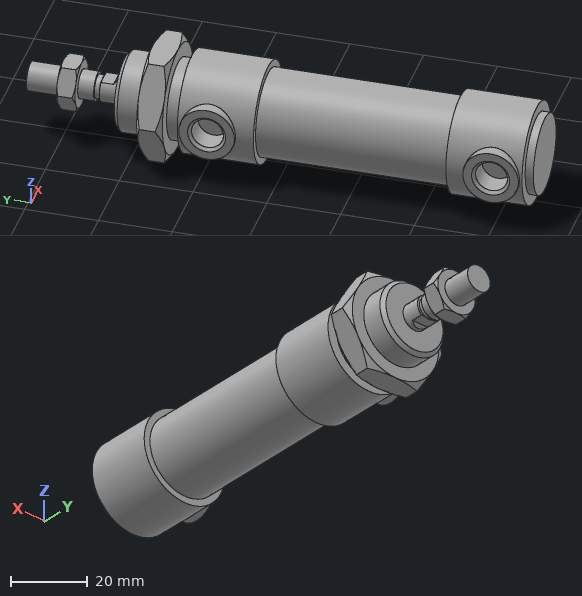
import cadquery as cq
import math

overall_length = 139.5

cap_diameter = 28.0
cap_length = 20.6
tube_diameter = 24.0
collar_diameter = 22.0
rear_collar_length = 2.2
front_collar_end = 114.0
front_collar_length = 18.3
collar_chamfer = 1.1
front_cap_end = front_collar_end - front_collar_length
rear_cap_end = rear_collar_length + cap_length

port_positions = (10.5, 87.5)
boss_diameter = 15.0
boss_reach = 15.0
port_diameter = 8.6
port_mouth_diameter = 10.3
port_depth = 7.0

rod_diameter = 8.0
neck_diameter = 6.5
neck_start = 119.7
neck_length = 1.5
flats_width = 6.0
flats_start = 116.2
rod_insertion = 14.0
rod_start = front_collar_end - rod_insertion

mount_nut_flats = 30.0
mount_nut_start = 99.5
mount_nut_thickness = 7.0
rod_nut_flats = 13.0
rod_nut_start = 125.5
rod_nut_thickness = 5.0
nut_chamfer_angle = 30.0


def axial_cylinder(diameter, start, end):
    """Cylinder along +Y between two Y positions."""
    plane = cq.Workplane("XZ", origin=(0, start, 0))
    return plane.circle(diameter / 2).extrude(start - end)


def port_cylinder(diameter, position, depth):
    """Cylinder from the port face inwards along +X."""
    plane = cq.Workplane("YZ", origin=(-boss_reach, position, 0))
    return plane.circle(diameter / 2).extrude(depth)


def port_countersink(position):
    """45-degree cone that opens the port mouth."""
    depth = (port_mouth_diameter - port_diameter) / 2
    plane = cq.Workplane("YZ", origin=(-boss_reach, position, 0))
    return plane.circle(port_mouth_diameter / 2).extrude(depth, taper=45)


def make_housing():
    """Tube, end caps, collars and ports, with a blind bore for the rod."""
    front_collar = axial_cylinder(collar_diameter, front_cap_end, front_collar_end)
    front_collar = front_collar.faces(">Y").edges().chamfer(collar_chamfer)
    housing = (
        axial_cylinder(collar_diameter, 0, rear_collar_length)
        .union(axial_cylinder(cap_diameter, rear_collar_length, rear_cap_end))
        .union(axial_cylinder(tube_diameter, rear_cap_end, front_cap_end - cap_length))
        .union(axial_cylinder(cap_diameter, front_cap_end - cap_length, front_cap_end))
        .union(front_collar)
    )
    for position in port_positions:
        housing = housing.union(port_cylinder(boss_diameter, position, boss_reach))
    for position in port_positions:
        housing = housing.cut(port_cylinder(port_diameter, position, port_depth))
        housing = housing.cut(port_countersink(position))
    return housing.cut(axial_cylinder(rod_diameter, rod_start, front_collar_end))


def make_rod():
    """Round rod with a turned neck and two wrench flats behind it."""
    neck_end = neck_start + neck_length
    rod = (
        axial_cylinder(rod_diameter, rod_start, neck_start)
        .union(axial_cylinder(neck_diameter, neck_start, neck_end))
        .union(axial_cylinder(rod_diameter, neck_end, overall_length))
    )
    half_flats = flats_width / 2
    run_out = rod_diameter / 2 - half_flats
    flat_cut = (
        cq.Workplane("YZ")
        .moveTo(neck_start, half_flats)
        .lineTo(flats_start, half_flats)
        .lineTo(flats_start - run_out, rod_diameter / 2)
        .lineTo(neck_start, rod_diameter / 2)
        .close()
        .extrude(rod_diameter / 2, both=True)
    )
    return rod.cut(flat_cut).cut(flat_cut.mirror("XY"))


def make_nut(flats, bore, start, thickness):
    """Hexagonal nut with flats facing +Z and -Z and both ends cone-chamfered."""
    corner_radius = flats / 2 / math.cos(math.pi / 6)
    face_radius = flats / 2
    chamfer_height = (corner_radius - face_radius) * math.tan(math.radians(nut_chamfer_angle))
    end = start + thickness
    hexagon = (
        cq.Workplane("XZ", origin=(0, start, 0))
        .polygon(6, 2 * corner_radius)
        .extrude(-thickness)
    )
    envelope = (
        cq.Workplane("XY")
        .moveTo(0, start)
        .lineTo(face_radius, start)
        .lineTo(corner_radius, start + chamfer_height)
        .lineTo(corner_radius, end - chamfer_height)
        .lineTo(face_radius, end)
        .lineTo(0, end)
        .close()
        .revolve(360, (0, 0, 0), (0, 1, 0))
    )
    return hexagon.intersect(envelope).cut(axial_cylinder(bore, start, end))


housing = make_housing()
rod = make_rod()
mount_nut = make_nut(mount_nut_flats, collar_diameter, mount_nut_start, mount_nut_thickness)
rod_nut = make_nut(rod_nut_flats, rod_diameter, rod_nut_start, rod_nut_thickness)

result = cq.Compound.makeCompound([housing.val(), rod.val(), mount_nut.val(), rod_nut.val()])